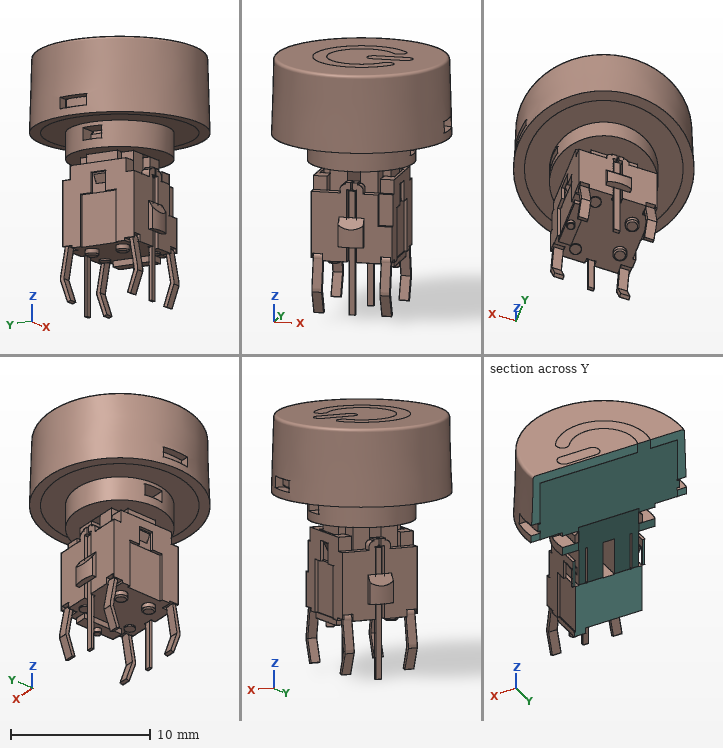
import cadquery as cq
import math

OVERALL_HEIGHT = 18.95
SEATING_TO_TOP = 14.52

CAP_BOTTOM = 8.85
CAP_BOTTOM_RADIUS = 6.5
CAP_TOP_RADIUS = 6.33
CAP_EDGE_ROUND = 0.25
CAP_BORE_DIAMETER = 11.4
CAP_TOP_THICKNESS = 0.8
CAP_WINDOW_WIDTH = 2.22
CAP_WINDOW_OFFSET = 0.05
CAP_WINDOW_BOTTOM = 9.45
CAP_WINDOW_TOP = 10.3

STROKE = 1.0
RING_RADIUS = 3.01
RING_HALF_GAP = 38.5
BAR_START = 0.4
BAR_END = 3.79

TAB_WIDTH = 1.93
TAB_BOTTOM = 9.6
TAB_TOP = 10.25
TAB_RADIUS = 5.91
COLLAR_DIAMETER = 7.8
COLLAR_BOTTOM = 6.9
COLLAR_WINDOW_WIDTH = 1.6
COLLAR_WINDOW_BOTTOM = 7.6
COLLAR_WINDOW_TOP = 8.55

BLOCK_INNER_X = 0.47
BLOCK_OUTER_X = 1.78
BLOCK_HALF_Y = 2.24
LEG_INNER_X = 1.91
LEG_OUTER_X = 2.48
LEG_HALF_Y = 1.29
HOOK_REACH = 0.32
UPPER_HOOK_WIDTH = 1.44
UPPER_HOOK_SLOPE_BOTTOM = 8.25
LOWER_HOOK_WIDTH = 0.97
LOWER_HOOK_BOTTOM = 4.65
LOWER_HOOK_TOP = 5.27

HOUSING_WIDTH = 5.99
HALF_HOUSING = HOUSING_WIDTH / 2
WALL_TOP = 6.1
SHOULDER_TOP = 5.08
POCKET_HALF_X = 1.97
POCKET_HALF_Y = 2.35
POCKET_FLOOR = 3.88
SIDE_SKIN = 0.23
CORNER_CUT_BOTTOM = 2.77
CORNER_CUT_DEPTH = 0.32
SIDE_WINDOW_WIDTH = 1.21
SIDE_WINDOW_TOP = 5.4
SIDE_PANEL_WIDTH = 2.98

TONGUE_WIDTH = 1.7
TONGUE_TOP = 5.75
TONGUE_ROUND = 0.4
RIDGE_TOP = 5.87
SLIT_WIDTH = 0.15

CHANNEL_WIDTH = 0.72
CHANNEL_TOP = 5.32
LEAD_WIDTH = 0.45
LEAD_THICKNESS = 0.23
LEAD_INNER_Y = 2.6
LEAD_TOP = 5.21
FRONT_LEAD_TIP = -3.92
REAR_LEAD_TIP = SEATING_TO_TOP - OVERALL_HEIGHT

CATCH_WIDTH = 1.85
CATCH_DIAMETER = 5.5
CATCH_REACH = 0.47
CATCH_BOTTOM = 1.17
CATCH_SLOPE_BOTTOM = 2.5
CATCH_TOP = 3.3

MOUNT_X = 2.52
MOUNT_WIDTH = 0.72
MOUNT_THICKNESS = 0.28
MOUNT_SEAT_TOP = 0.51
MOUNT_ROOT_Y = 2.62
MOUNT_BEND_MIDDLE = (2.8, 0.32)
MOUNT_SHOULDER = (2.86, 0.05)
MOUNT_KNEE_TOP = (3.24, -2.03)
MOUNT_KNEE_BOTTOM = (3.24, -2.27)
MOUNT_TIP = (2.65, -3.92)
CORNER_NOTCH_INNER_Y = 2.22
CORNER_NOTCH_HEIGHT = 0.19

FOOT_HEIGHT = 0.45
STUD_DIAMETER = 1.0
STUD_X = -1.7
STUD_Y = 1.29
FOOT_CHAMFER = 0.11
BAR_FOOT_INNER_X = 1.9
BAR_FOOT_OUTER_X = 2.85
BAR_FOOT_HALF_Y = 1.7
PEG_DIAMETER = 0.6
PEG_TIP = -0.83
PEG_CHAMFER = 0.05
PAD_DIAMETER = 0.85
PAD_X = 1.4
PAD_Y = 2.08
PAD_HEIGHT = 0.11


def block(x_range, y_range, z_range):
    """Box between two limits along each axis."""
    lows, highs = zip(x_range, y_range, z_range)
    sizes = [high - low for low, high in zip(lows, highs)]
    return cq.Workplane("XY").box(*sizes, centered=False).translate(lows)


def centred_block(half_x, half_y, z_range):
    """Box centred on the Z axis."""
    return block((-half_x, half_x), (-half_y, half_y), z_range)


def cylinder(diameter, z_range):
    bottom, top = z_range
    return cq.Workplane("XY").workplane(offset=bottom).circle(diameter / 2).extrude(top - bottom)


def half_turn(shape):
    """Copy of a shape on the opposite side of the Z axis."""
    return shape.rotate((0, 0, 0), (0, 0, 1), 180)


def make_symbol():
    """Open ring and bar, as tall as the cap's top is thick."""
    start = SEATING_TO_TOP - CAP_TOP_THICKNESS
    plane = cq.Workplane("XY").workplane(offset=start)

    def ring_point(radius, degrees):
        angle = math.radians(degrees)
        return (radius * math.cos(angle), radius * math.sin(angle))

    outer = RING_RADIUS + STROKE / 2
    inner = RING_RADIUS - STROKE / 2
    end_tilt = math.degrees(STROKE / 2 / RING_RADIUS)
    ring = (
        plane.moveTo(*ring_point(outer, RING_HALF_GAP))
        .threePointArc((-outer, 0), ring_point(outer, -RING_HALF_GAP))
        .threePointArc(ring_point(RING_RADIUS, end_tilt - RING_HALF_GAP), ring_point(inner, -RING_HALF_GAP))
        .threePointArc((-inner, 0), ring_point(inner, RING_HALF_GAP))
        .threePointArc(ring_point(RING_RADIUS, RING_HALF_GAP - end_tilt), ring_point(outer, RING_HALF_GAP))
        .close()
        .extrude(CAP_TOP_THICKNESS)
    )
    bar = (
        plane.center((BAR_START + BAR_END) / 2, 0)
        .slot2D(BAR_END - BAR_START, STROKE)
        .extrude(CAP_TOP_THICKNESS)
    )
    return ring.add(bar).combine()


def make_cap(symbol):
    blank = (
        cq.Workplane("XZ")
        .moveTo(0, CAP_BOTTOM)
        .lineTo(CAP_BOTTOM_RADIUS, CAP_BOTTOM)
        .lineTo(CAP_TOP_RADIUS, SEATING_TO_TOP)
        .lineTo(0, SEATING_TO_TOP)
        .close()
        .revolve(360, (0, 0), (0, 1))
        .faces(">Z").edges().fillet(CAP_EDGE_ROUND)
    )
    bore = cylinder(CAP_BORE_DIAMETER, (CAP_BOTTOM, SEATING_TO_TOP - CAP_TOP_THICKNESS))
    windows = centred_block(CAP_BOTTOM_RADIUS, CAP_WINDOW_WIDTH / 2, (CAP_WINDOW_BOTTOM, CAP_WINDOW_TOP))
    windows = windows.translate((0, CAP_WINDOW_OFFSET, 0))
    return blank.cut(bore).cut(windows).cut(symbol)


def make_plunger():
    """Head inside the collar, with blocks and hooked legs that reach into the housing."""
    head_top = CAP_BOTTOM
    body = centred_block(BLOCK_OUTER_X, BLOCK_HALF_Y, (POCKET_FLOOR, head_top))
    middle_gap = centred_block(BLOCK_INNER_X, BLOCK_HALF_Y, (POCKET_FLOOR, COLLAR_BOTTOM))
    body = body.cut(middle_gap)
    body = body.union(centred_block(LEG_OUTER_X, LEG_HALF_Y, (COLLAR_BOTTOM, head_top)))
    leg = block((-LEG_OUTER_X, -LEG_INNER_X), (-LEG_HALF_Y, LEG_HALF_Y), (POCKET_FLOOR, head_top))
    hook_x = -LEG_OUTER_X - HOOK_REACH
    upper_hook = (
        cq.Workplane("XZ")
        .polyline([
            (-LEG_OUTER_X, COLLAR_WINDOW_BOTTOM),
            (hook_x, COLLAR_WINDOW_BOTTOM),
            (hook_x, UPPER_HOOK_SLOPE_BOTTOM),
            (-LEG_OUTER_X, COLLAR_WINDOW_TOP),
        ])
        .close()
        .extrude(UPPER_HOOK_WIDTH / 2, both=True)
    )
    lower_hook = (
        cq.Workplane("XZ")
        .polyline([
            (-LEG_OUTER_X, LOWER_HOOK_BOTTOM),
            (hook_x, LOWER_HOOK_TOP),
            (-LEG_OUTER_X, LOWER_HOOK_TOP),
        ])
        .close()
        .extrude(LOWER_HOOK_WIDTH / 2, both=True)
    )
    side = leg.union(upper_hook).union(lower_hook)
    return body.union(side).union(half_turn(side))


def make_light_guide(symbol, plunger):
    disc = cylinder(CAP_BORE_DIAMETER, (CAP_BOTTOM, SEATING_TO_TOP - CAP_TOP_THICKNESS))
    tab_height = (TAB_BOTTOM, TAB_TOP)
    tabs = centred_block(TAB_RADIUS, TAB_WIDTH / 2, tab_height)
    tabs = tabs.intersect(cylinder(2 * TAB_RADIUS, tab_height))
    collar = cylinder(COLLAR_DIAMETER, (COLLAR_BOTTOM, CAP_BOTTOM))
    windows = centred_block(
        COLLAR_DIAMETER / 2, COLLAR_WINDOW_WIDTH / 2, (COLLAR_WINDOW_BOTTOM, COLLAR_WINDOW_TOP)
    )
    collar = collar.cut(windows).cut(plunger)
    return disc.union(tabs).union(collar).union(symbol)


def make_box():
    """Housing box with its pocket, leg slots and side windows."""
    box = centred_block(HALF_HOUSING, HALF_HOUSING, (0, SHOULDER_TOP))
    box = box.union(centred_block(HALF_HOUSING, POCKET_HALF_Y, (SHOULDER_TOP, WALL_TOP)))
    box = box.cut(centred_block(POCKET_HALF_X, POCKET_HALF_Y, (POCKET_FLOOR, WALL_TOP)))
    box = box.cut(centred_block(HALF_HOUSING - SIDE_SKIN, LEG_HALF_Y, (POCKET_FLOOR, WALL_TOP)))

    skin_x = (-HALF_HOUSING, SIDE_SKIN - HALF_HOUSING)
    half_window = SIDE_WINDOW_WIDTH / 2
    half_panel = SIDE_PANEL_WIDTH / 2
    window = block(skin_x, (-half_window, half_window), (POCKET_FLOOR, SIDE_WINDOW_TOP))
    panel = block(skin_x, (-half_panel, half_panel), (0, POCKET_FLOOR))
    side = window.union(panel)
    corner_cut = block(
        (POCKET_HALF_X, HALF_HOUSING),
        (-HALF_HOUSING, CORNER_CUT_DEPTH - HALF_HOUSING),
        (CORNER_CUT_BOTTOM, SHOULDER_TOP),
    )
    return box.cut(side).cut(half_turn(side)).cut(corner_cut)


def make_tongue():
    half_width = TONGUE_WIDTH / 2
    half_ridge = half_width - TONGUE_ROUND
    wall_y = (-HALF_HOUSING, -POCKET_HALF_Y)
    tongue = block((-half_width, half_width), wall_y, (SHOULDER_TOP, TONGUE_TOP))
    tongue = tongue.faces(">Z").edges("|Y").fillet(TONGUE_ROUND)
    return tongue.union(block((-half_ridge, half_ridge), wall_y, (TONGUE_TOP, RIDGE_TOP)))


def make_channel():
    """Cutter for the lead channel and the slit above it."""
    half_channel = CHANNEL_WIDTH / 2
    half_slit = SLIT_WIDTH / 2
    depth_y = (-HALF_HOUSING, -LEAD_INNER_Y)
    channel = block((-half_channel, half_channel), depth_y, (0, CHANNEL_TOP))
    slit = block((-half_slit, half_slit), depth_y, (CHANNEL_TOP, RIDGE_TOP))
    return channel.union(slit)


def make_catch():
    """Wedge with a curved outer face."""
    outer_y = HALF_HOUSING + CATCH_REACH
    wedge = (
        cq.Workplane("YZ")
        .polyline([
            (-HALF_HOUSING, CATCH_BOTTOM),
            (-outer_y, CATCH_BOTTOM),
            (-outer_y, CATCH_SLOPE_BOTTOM),
            (-HALF_HOUSING, CATCH_TOP),
        ])
        .close()
        .extrude(CATCH_WIDTH / 2, both=True)
    )
    curve = cylinder(CATCH_DIAMETER, (CATCH_BOTTOM, CATCH_TOP))
    curve = curve.translate((0, CATCH_DIAMETER / 2 - outer_y, 0))
    return wedge.intersect(curve)


def make_lead(tip):
    """Straight lead on the floor of its channel, down to the height of its tip."""
    half_width = LEAD_WIDTH / 2
    return block((-half_width, half_width), (-LEAD_INNER_Y - LEAD_THICKNESS, -LEAD_INNER_Y), (tip, LEAD_TOP))


def make_mount_seat(x):
    """Cutter for the recess around the root of one mounting leg."""
    half_width = MOUNT_WIDTH / 2
    root = block((x - half_width, x + half_width), (-HALF_HOUSING, -MOUNT_ROOT_Y), (0, MOUNT_SEAT_TOP))
    outer_x = math.copysign(HALF_HOUSING, x)
    inner_x = x - math.copysign(half_width, x)
    notch = block(
        sorted((outer_x, inner_x)), (-HALF_HOUSING, -CORNER_NOTCH_INNER_Y), (0, CORNER_NOTCH_HEIGHT)
    )
    return root.union(notch)


def make_mount_leg(x):
    """Strip that leans out to a knee and back in to its tip."""
    lean = math.atan2(MOUNT_KNEE_BOTTOM[0] - MOUNT_TIP[0], MOUNT_KNEE_BOTTOM[1] - MOUNT_TIP[1])
    inner_tip = (
        MOUNT_TIP[0] - MOUNT_THICKNESS * math.cos(lean),
        MOUNT_TIP[1] + MOUNT_THICKNESS * math.sin(lean),
    )
    knee_middle = (MOUNT_KNEE_TOP[1] + MOUNT_KNEE_BOTTOM[1]) / 2
    inner_knee = (MOUNT_KNEE_TOP[0] - MOUNT_THICKNESS, knee_middle)
    inner_shoulder = (MOUNT_SHOULDER[0] - MOUNT_THICKNESS, MOUNT_SHOULDER[1])

    def across(point):
        """Outline point moved to the -Y side."""
        return (-point[0], point[1])

    return (
        cq.Workplane("YZ")
        .moveTo(*across((MOUNT_ROOT_Y, MOUNT_SEAT_TOP)))
        .threePointArc(across(MOUNT_BEND_MIDDLE), across(MOUNT_SHOULDER))
        .lineTo(*across(MOUNT_KNEE_TOP))
        .lineTo(*across(MOUNT_KNEE_BOTTOM))
        .lineTo(*across(MOUNT_TIP))
        .lineTo(*across(inner_tip))
        .lineTo(*across(inner_knee))
        .lineTo(*across(inner_shoulder))
        .lineTo(*across((inner_shoulder[0], MOUNT_SEAT_TOP)))
        .close()
        .extrude(MOUNT_WIDTH / 2, both=True)
        .translate((x, 0, 0))
    )


def make_feet():
    """Two round studs, a bar with a locating peg, and two low round pads."""
    feet = block((BAR_FOOT_INNER_X, BAR_FOOT_OUTER_X), (-BAR_FOOT_HALF_Y, BAR_FOOT_HALF_Y), (-FOOT_HEIGHT, 0))
    for y in (-STUD_Y, STUD_Y):
        stud = cylinder(STUD_DIAMETER, (-FOOT_HEIGHT, 0)).faces("<Z").chamfer(FOOT_CHAMFER)
        feet = feet.union(stud.translate((STUD_X, y, 0)))
    for y in (-PAD_Y, PAD_Y):
        feet = feet.union(cylinder(PAD_DIAMETER, (-PAD_HEIGHT, 0)).translate((PAD_X, y, 0)))
    peg = cylinder(PEG_DIAMETER, (PEG_TIP, 0)).faces("<Z").chamfer(PEG_CHAMFER)
    return feet.union(peg.translate((MOUNT_X, 0, 0)))


def make_housing():
    housing = make_box()
    front_end = make_tongue().union(make_catch())
    housing = housing.union(front_end).union(half_turn(front_end))
    channel = make_channel()
    housing = housing.cut(channel).cut(half_turn(channel))
    housing = housing.union(make_lead(FRONT_LEAD_TIP)).union(half_turn(make_lead(REAR_LEAD_TIP)))
    for x in (-MOUNT_X, MOUNT_X):
        seat = make_mount_seat(x)
        leg = make_mount_leg(x)
        housing = housing.cut(seat).cut(half_turn(seat))
        housing = housing.union(leg).union(half_turn(leg))
    return housing.union(make_feet())


symbol = make_symbol()
cap = make_cap(symbol)
plunger = make_plunger()
light_guide = make_light_guide(symbol, plunger)
housing = make_housing()

bodies = [cap, light_guide, plunger, housing]
result = cq.Compound.makeCompound([solid for body in bodies for solid in body.solids().vals()])